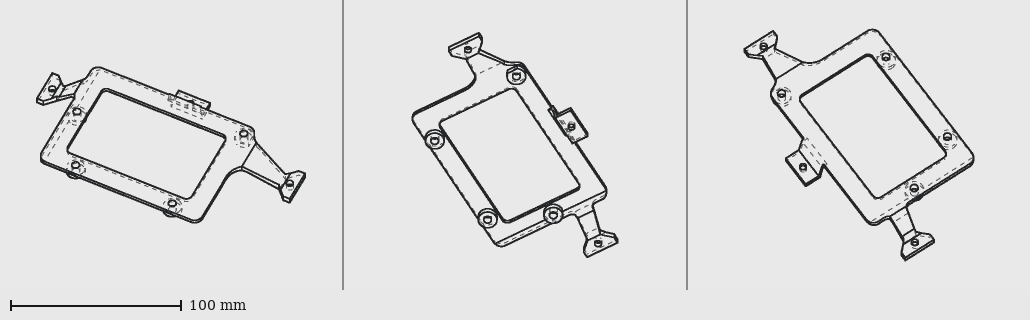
import cadquery as cq
import math

plate_thickness = 2.5
frame_left = -59.0
frame_right = 46.0
frame_depth = 75.5
corner_radius = 5.0
rim_width = 12.0
window_corner_radius = 3.5

boss_diameter = 11.0
boss_hole_diameter = 4.5
boss_bottom = -6.0
boss_centers = [(-53.25, 40.8), (-37.0, 5.75), (26.0, 5.75), (41.5, 69.5)]

overall_length = 165.0
foot_tip = overall_length / 2
arm_y = 57.25
foot_bottom = -16.52
foot_thickness = 4.0
foot_top = foot_bottom + foot_thickness
foot_width = 20.5
foot_end_length = 4.2
mounting_hole_diameter = 4.0
foot_hole_x = 77.5
neck_x = 72.5
neck_width = 8.5
bend_x = 70.75
bend_z = -11.0
foot_flat_x = 74.8
root_overlap = 1.0

left_fold = 60.3
left_fold_width = 11.5
left_blend_radius = 5.0
left_gusset_start = 55.5
left_gusset_end = (62.5, -4.85)

right_fold = 51.0
right_fold_width = 19.2
right_blend_radius = 14.0
right_gusset_start = frame_right
right_gusset_end = (54.0, -4.9)

overall_depth = 88.38
tab_width = 20.5
tab_hole_y = 83.1
tab_bottom = -15.0
tab_top = -12.0
tab_bend_end = (76.6, -0.88)
tab_slope_foot_y = 79.1
tab_heel_y = 78.0
tab_gusset_start = 73.2
tab_gusset_end = (76.2, -5.0)


def rounded_slab(thickness):
    """Slab in the frame outline, hanging down from Z = 0; the rear right corner stays square."""
    width = frame_right - frame_left
    slab = cq.Workplane("XY").box(width, frame_depth, thickness, centered=False)
    slab = slab.edges("|Z").edges("<X or <Y").fillet(corner_radius)
    return slab.translate((frame_left, 0, -thickness))


def make_left_wedge():
    """Thickening under the whole left side of the frame, in line with the left arm's gusset."""
    end_x, end_z = left_gusset_end
    profile = [
        (-left_gusset_start, -plate_thickness),
        (-end_x, end_z),
        (-end_x, -plate_thickness),
    ]
    wedge = cq.Workplane("XZ").polyline(profile).close().extrude(-frame_depth)
    return wedge.intersect(rounded_slab(-end_z))


def blend_half_width(edge_x, fold_x, fold_width, radius):
    """Half width where the concave blend arc runs out on the frame edge."""
    reach = fold_x - edge_x
    return fold_width / 2 + math.sqrt(radius**2 - (radius - reach) ** 2)


def arm_outline(edge_x, root_x, fold_x, fold_width, radius):
    """Plan of an arm pointing to +X and centred on Y = 0, extruded through all heights."""
    edge_half = blend_half_width(edge_x, fold_x, fold_width, radius)
    half_sweep = math.asin((edge_half - fold_width / 2) / radius) / 2
    mid_x = edge_x + radius * (1 - math.cos(half_sweep))
    mid_half = edge_half - radius * math.sin(half_sweep)
    fold_half = fold_width / 2
    neck_half = neck_width / 2
    foot_half = foot_width / 2
    shoulder_x = foot_tip - foot_end_length
    return (
        cq.Workplane("XY")
        .workplane(offset=foot_bottom)
        .moveTo(root_x, -edge_half)
        .lineTo(edge_x, -edge_half)
        .threePointArc((mid_x, -mid_half), (fold_x, -fold_half))
        .lineTo(neck_x, -neck_half)
        .lineTo(shoulder_x, -foot_half)
        .lineTo(foot_tip, -foot_half)
        .lineTo(foot_tip, foot_half)
        .lineTo(shoulder_x, foot_half)
        .lineTo(neck_x, neck_half)
        .lineTo(fold_x, fold_half)
        .threePointArc((mid_x, mid_half), (edge_x, edge_half))
        .lineTo(root_x, edge_half)
        .close()
        .extrude(-foot_bottom)
    )


def make_arm(edge_x, fold_x, fold_width, radius, gusset_start, gusset_end):
    """Arm pointing to +X: bent side profile trimmed to the plan outline."""
    root_x = gusset_start - root_overlap
    profile = [
        (root_x, 0),
        (fold_x, 0),
        (bend_x, bend_z),
        (foot_flat_x, foot_top),
        (foot_tip, foot_top),
        (foot_tip, foot_bottom),
        (neck_x, foot_bottom),
        gusset_end,
        (gusset_start, -plate_thickness),
        (root_x, -plate_thickness),
    ]
    strip = cq.Workplane("XZ").polyline(profile).close().extrude(frame_depth, both=True)
    outline = arm_outline(edge_x, root_x, fold_x, fold_width, radius)
    hole = (
        cq.Workplane("XY")
        .workplane(offset=foot_bottom)
        .center(foot_hole_x, 0)
        .circle(mounting_hole_diameter / 2)
        .extrude(-foot_bottom)
    )
    return strip.intersect(outline).cut(hole)


def make_tab():
    """Bent tab on the rear edge of the frame."""
    tab = (
        cq.Workplane("YZ")
        .moveTo(tab_gusset_start, -plate_thickness)
        .lineTo(tab_gusset_start, 0)
        .lineTo(frame_depth, 0)
        .tangentArcPoint(tab_bend_end, relative=False)
        .lineTo(tab_slope_foot_y, tab_top)
        .lineTo(overall_depth, tab_top)
        .lineTo(overall_depth, tab_bottom)
        .lineTo(tab_heel_y, tab_bottom)
        .lineTo(*tab_gusset_end)
        .close()
        .extrude(tab_width / 2, both=True)
    )
    hole = (
        cq.Workplane("XY")
        .workplane(offset=tab_bottom)
        .center(0, tab_hole_y)
        .circle(mounting_hole_diameter / 2)
        .extrude(-tab_bottom)
    )
    return tab.cut(hole)


def boss_cylinders(diameter):
    """Vertical cylinders at the boss positions, from the boss bottom to the plate top."""
    return (
        cq.Workplane("XY")
        .workplane(offset=boss_bottom)
        .pushPoints(boss_centers)
        .circle(diameter / 2)
        .extrude(-boss_bottom)
    )


def make_bosses():
    """Bosses, trimmed flush with the sides of the frame."""
    envelope = (
        cq.Workplane("XY")
        .box(frame_right - frame_left, frame_depth, -boss_bottom, centered=False)
        .translate((frame_left, 0, boss_bottom))
    )
    return boss_cylinders(boss_diameter).intersect(envelope)


def make_window():
    """Rectangular opening with rounded corners."""
    window = cq.Workplane("XY").box(
        frame_right - frame_left - 2 * rim_width,
        frame_depth - 2 * rim_width,
        plate_thickness,
        centered=False,
    )
    window = window.edges("|Z").fillet(window_corner_radius)
    return window.translate((frame_left + rim_width, rim_width, -plate_thickness))


left_arm = make_arm(
    -frame_left, left_fold, left_fold_width, left_blend_radius, left_gusset_start, left_gusset_end
)
left_arm = left_arm.mirror("YZ").translate((0, arm_y, 0))
right_arm = make_arm(
    frame_right, right_fold, right_fold_width, right_blend_radius, right_gusset_start, right_gusset_end
)
right_arm = right_arm.translate((0, arm_y, 0))

ahead_of_rear_edge = (
    cq.Workplane("XY")
    .box(overall_length, frame_depth, -foot_bottom, centered=(True, False, False))
    .translate((0, 0, foot_bottom))
)
frame = rounded_slab(plate_thickness).union(right_arm.intersect(ahead_of_rear_edge))

corner_search = 1.0
rear_right_corner = cq.selectors.BoxSelector(
    (frame_right, frame_depth - corner_search, foot_bottom),
    (frame_right + corner_search, frame_depth + corner_search, corner_search),
)
frame = frame.edges("|Z").edges(rear_right_corner).fillet(corner_radius)

body = frame.union(make_left_wedge()).union(left_arm).union(make_tab()).union(make_bosses())
result = body.cut(make_window()).cut(boss_cylinders(boss_hole_diameter))